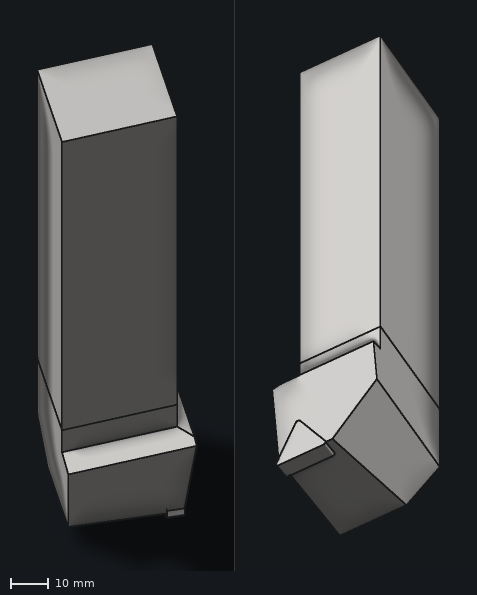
import cadquery as cq
import math

shank_width = 25.0
shank_depth = 32.0
total_height = 171.0
seam_height = 41.0

head_width = 31.3
head_depth = 35.7
shoulder_height = 31.1
shoulder_angle = 15.0
corner_cut = 15.4
bottom_front_height = 5.1
bottom_clearance_angle = 8.0
bottom_edge_chamfer = 0.5

shoulder_slope = math.tan(math.radians(shoulder_angle))
shoulder_back_height = shoulder_height - (head_depth - shank_depth) * shoulder_slope
rake_slope = (head_depth - shank_depth) / shoulder_back_height

insert_edge = 16.5
insert_thickness = 5.0
insert_corner_radius = 0.77
insert_right = 32.1
corner_pull_in = insert_corner_radius * (math.sqrt(3) - 1)
insert_center_x = insert_right + corner_pull_in - insert_edge / 2


def make_shank():
    return (
        cq.Workplane("XY")
        .workplane(offset=seam_height)
        .rect(shank_width, shank_depth, centered=False)
        .extrude(total_height - seam_height)
    )


def make_insert():
    rake_plane = cq.Plane(
        origin=(insert_center_x, shank_depth, 0),
        xDir=(1, 0, 0),
        normal=(0, -1, rake_slope),
    )
    half_edge = insert_edge / 2
    return (
        cq.Workplane(rake_plane)
        .polyline([(-half_edge, 0), (half_edge, 0), (0, half_edge * math.sqrt(3))])
        .close()
        .extrude(insert_thickness)
        .edges(cq.selectors.ParallelDirSelector(rake_plane.zDir))
        .fillet(insert_corner_radius)
    )


def make_head_side_profile():
    bottom_slope = math.tan(math.radians(bottom_clearance_angle))
    bottom_back_height = (bottom_front_height - bottom_slope * shank_depth) / (1 + bottom_slope * rake_slope)
    bottom_back_depth = shank_depth + rake_slope * bottom_back_height
    return (
        cq.Workplane("YZ")
        .moveTo(0, bottom_front_height)
        .lineTo(bottom_back_depth, bottom_back_height)
        .lineTo(head_depth, shoulder_back_height)
        .lineTo(shank_depth, shoulder_height)
        .lineTo(shank_depth, seam_height)
        .lineTo(0, seam_height)
        .close()
        .extrude(head_width)
    )


def make_head_front_profile():
    shoulder_right_height = shoulder_height - (head_width - shank_width) * shoulder_slope
    return (
        cq.Workplane("XZ")
        .moveTo(0, corner_cut)
        .lineTo(corner_cut, 0)
        .lineTo(head_width, 0)
        .lineTo(head_width, shoulder_right_height)
        .lineTo(shank_width, shoulder_height)
        .lineTo(shank_width, seam_height)
        .lineTo(0, seam_height)
        .close()
        .extrude(-head_depth)
    )


def make_head(insert):
    body = make_head_side_profile().intersect(make_head_front_profile())
    body = body.faces(">X").edges("<Z").chamfer(bottom_edge_chamfer)
    return body.cut(insert)


shank = make_shank()
insert = make_insert()
head = make_head(insert)

result = cq.Compound.makeCompound([shank.val(), head.val(), insert.val()])